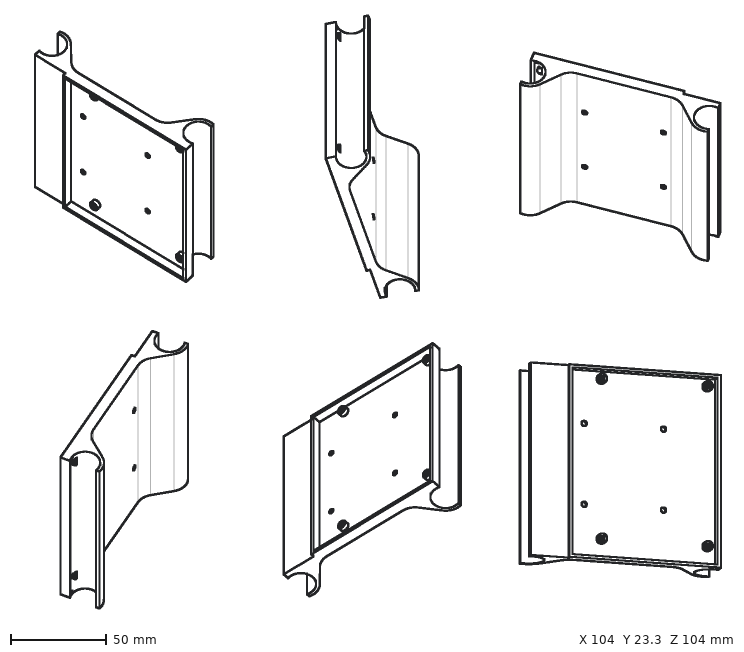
import cadquery as cq
import math

width = 104.0
depth = 23.3
height = 104.0

clip_wall = 2.0
bore_radius = 8.0
clip_radius = bore_radius + clip_wall
clip_inset = 2.4
clip_y = depth - clip_radius

plate_thickness = 6.5
blend_radius = 10.0
blend_inset = 25.9
relief_width = 20.6
relief_depth = 2.0

tray_wall = 1.6
tray_right_wall = 2.0
tray_depth = 5.0

standoff_diameter = 5.0
standoff_bore = 2.4
standoff_height = 2.6
standoff_xs = (39.4, 97.7)
standoff_zs = (12.0, 98.3)

mount_hole_diameter = 2.8
mount_hole_spacing = 43.7


def extrude_up(outline):
    """Extrude a closed XY outline over the full height."""
    return outline.close().extrude(height)


def clip_body():
    """Left clip: outer arc, tangent flank and concave blend down to the plate."""
    blend_y = plate_thickness + blend_radius
    run = blend_inset - clip_inset
    rise = blend_y - clip_y
    normal_angle = math.atan2(rise, run) + math.acos((clip_radius + blend_radius) / math.hypot(run, rise))

    def on_clip(angle):
        return (clip_inset + clip_radius * math.cos(angle), clip_y + clip_radius * math.sin(angle))

    def on_blend(angle):
        return (blend_inset - blend_radius * math.cos(angle), blend_y - blend_radius * math.sin(angle))

    top_angle = math.acos(-clip_inset / clip_radius)
    bottom_angle = math.pi / 2
    outline = (
        cq.Workplane("XY")
        .lineTo(*on_clip(top_angle))
        .threePointArc(on_clip((top_angle + normal_angle) / 2), on_clip(normal_angle))
        .lineTo(*on_blend(normal_angle))
        .threePointArc(on_blend((normal_angle + bottom_angle) / 2), on_blend(bottom_angle))
        .lineTo(blend_inset, 0)
    )
    bore = cq.Workplane("XY").center(clip_inset, clip_y).circle(bore_radius).extrude(height)
    return extrude_up(outline).cut(bore)


def block(x_start, x_end, y_end, z_start, z_end):
    """Box that starts on the front face, Y = 0."""
    size = (x_end - x_start, y_end, z_end - z_start)
    return cq.Workplane("XY").box(*size, centered=False).translate((x_start, 0, z_start))


def cylinders(points, diameter, y_start, length):
    """Cylinders along +Y at the given (x, z) points."""
    plane = cq.Plane(origin=(0, y_start, 0), xDir=(1, 0, 0), normal=(0, -1, 0))
    return cq.Workplane(plane).pushPoints(points).circle(diameter / 2).extrude(-length)


left_clip = clip_body()
right_clip = left_clip.mirror("YZ").translate((width, 0, 0))
plate = block(blend_inset, width - blend_inset, plate_thickness, 0, height)
body = plate.union(left_clip).union(right_clip)

body = body.cut(block(0, relief_width, relief_depth, 0, height))
body = body.cut(
    block(relief_width + tray_wall, width - tray_right_wall, tray_depth, tray_wall, height - tray_wall)
)

standoff_points = [(x, z) for x in standoff_xs for z in standoff_zs]
standoff_face = tray_depth - standoff_height
body = body.union(cylinders(standoff_points, standoff_diameter, standoff_face, plate_thickness - standoff_face))
body = body.cut(cylinders(standoff_points, standoff_bore, standoff_face, standoff_height))

hole_offsets = (-mount_hole_spacing / 2, mount_hole_spacing / 2)
hole_points = [(width / 2 + dx, height / 2 + dz) for dx in hole_offsets for dz in hole_offsets]
result = body.cut(cylinders(hole_points, mount_hole_diameter, 0, depth))